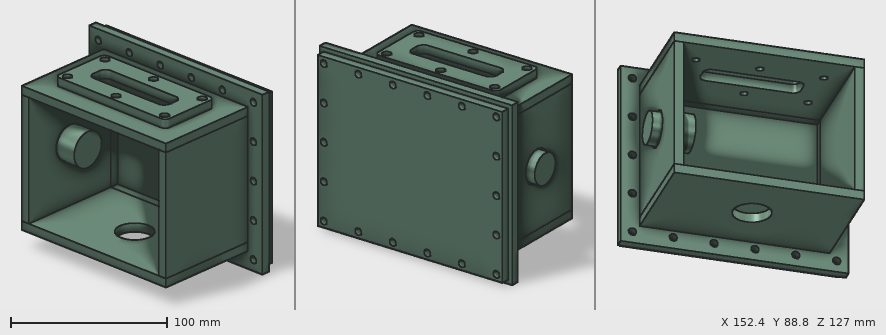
import cadquery as cq

flange_width = 152.4
flange_height = 127.0
overall_depth = 88.8

box_width = 127.0
box_height = 101.7
box_depth = 76.2
plate_thickness = (overall_depth - box_depth) / 2
inner_width = box_width - 2 * plate_thickness
inner_height = box_height - 2 * plate_thickness
box_middle_y = box_depth / 2

cover_width = 146.0
cover_height = 120.7
bolt_diameter = 5.0
bolt_columns = 6
bolt_rows = 5
bolt_span_x = 136.5
bolt_span_z = 111.1

port_length = 97.0
port_width = 45.4
port_height = plate_thickness
port_corner_radius = 3.8
slot_length = 67.0
slot_width = 15.8
slot_corner_radius = 5.0
port_bolt_span_x = 85.5
port_bolt_span_y = 34.9
port_clearance_diameter = 6.2
port_tap_diameter = 5.0

drain_diameter = 25.5
plug_hole_diameter = 24.7
plug_shank_diameter = 22.3
plug_head_diameter = 25.5
plug_head_length = 15.8
plug_projection = plate_thickness


def block(x_size, y_size, z_size, front_y, bottom_z, center_x=0):
    """Box centred on center_x, starting at front_y and bottom_z."""
    corner_to_middle = (True, False, False)
    return cq.Workplane("XY").box(x_size, y_size, z_size, centered=corner_to_middle).translate(
        (center_x, front_y, bottom_z)
    )


def upright_cutter(diameter, points, bottom_z, height):
    """Vertical cylinders at the given XY points."""
    return cq.Workplane("XY").workplane(offset=bottom_z).pushPoints(points).circle(diameter / 2).extrude(height)


def cross_cylinder(diameter, start_x, length):
    """Cylinder along +X on the axis of the side plug."""
    return (
        cq.Workplane("YZ", origin=(start_x, box_middle_y, 0))
        .circle(diameter / 2)
        .extrude(length)
    )


def rounded_block(length, width, corner_radius, bottom_z, height):
    """Upright block with rounded vertical edges, centred over the box."""
    return (
        cq.Workplane("XY", origin=(0, box_middle_y, bottom_z))
        .rect(length, width)
        .extrude(height)
        .edges("|Z")
        .fillet(corner_radius)
    )


def perimeter_points():
    """Evenly spaced XZ bolt positions around the flange rim."""
    pitch_x = bolt_span_x / (bolt_columns - 1)
    pitch_z = bolt_span_z / (bolt_rows - 1)
    return [
        (column * pitch_x - bolt_span_x / 2, row * pitch_z - bolt_span_z / 2)
        for column in range(bolt_columns)
        for row in range(bolt_rows)
        if column in (0, bolt_columns - 1) or row in (0, bolt_rows - 1)
    ]


def port_bolt_points():
    """XY bolt positions of the port: two rows of three."""
    return [
        (column * port_bolt_span_x / 2, box_middle_y + side * port_bolt_span_y / 2)
        for column in (-1, 0, 1)
        for side in (-1, 1)
    ]


def drill_perimeter(plate):
    """Cut the rim bolt holes through the flange or the cover."""
    drills = (
        cq.Workplane("XZ", origin=(0, box_depth, 0))
        .pushPoints(perimeter_points())
        .circle(bolt_diameter / 2)
        .extrude(-2 * plate_thickness)
    )
    return plate.cut(drills)


def make_roof():
    bottom_z = inner_height / 2
    roof = block(box_width, box_depth, plate_thickness, 0, bottom_z)
    slot = rounded_block(slot_length, slot_width, slot_corner_radius, bottom_z, plate_thickness)
    taps = upright_cutter(port_tap_diameter, port_bolt_points(), bottom_z, plate_thickness)
    return roof.cut(slot).cut(taps)


def make_floor():
    bottom_z = -box_height / 2
    floor = block(box_width, box_depth, plate_thickness, 0, bottom_z)
    return floor.cut(upright_cutter(drain_diameter, [(0, box_middle_y)], bottom_z, plate_thickness))


def make_side_wall(center_x):
    return block(plate_thickness, box_depth, inner_height, 0, -inner_height / 2, center_x)


def make_plug_wall(center_x):
    """Side wall with a clearance hole for the plug shank."""
    hole = cross_cylinder(plug_hole_diameter, center_x - plate_thickness / 2, plate_thickness)
    return make_side_wall(center_x).cut(hole)


def make_flange():
    """Rim behind the box, open to the full inside of the box."""
    rim = block(flange_width, plate_thickness, flange_height, box_depth, -flange_height / 2)
    opening = block(inner_width, plate_thickness, inner_height, box_depth, -inner_height / 2)
    return drill_perimeter(rim.cut(opening))


def make_cover():
    front_y = box_depth + plate_thickness
    return drill_perimeter(block(cover_width, plate_thickness, cover_height, front_y, -cover_height / 2))


def make_port_frame():
    bottom_z = box_height / 2
    frame = rounded_block(port_length, port_width, port_corner_radius, bottom_z, port_height)
    slot = rounded_block(slot_length, slot_width, slot_corner_radius, bottom_z, port_height)
    holes = upright_cutter(port_clearance_diameter, port_bolt_points(), bottom_z, port_height)
    return frame.cut(slot).cut(holes)


def make_plug():
    """Shank through the wall with a wider head seated against its inner face."""
    outer_x = -box_width / 2 - plug_projection
    seat_x = -inner_width / 2
    shank = cross_cylinder(plug_shank_diameter, outer_x, seat_x - outer_x)
    return shank.union(cross_cylinder(plug_head_diameter, seat_x, plug_head_length))


wall_center_x = (box_width - plate_thickness) / 2

roof = make_roof()
floor = make_floor()
plug_wall = make_plug_wall(-wall_center_x)
plain_wall = make_side_wall(wall_center_x)
flange = make_flange()
cover = make_cover()
port_frame = make_port_frame()
plug = make_plug()

result = cq.Compound.makeCompound([
    roof.val(),
    floor.val(),
    plug_wall.val(),
    plain_wall.val(),
    flange.val(),
    cover.val(),
    port_frame.val(),
    plug.val(),
])